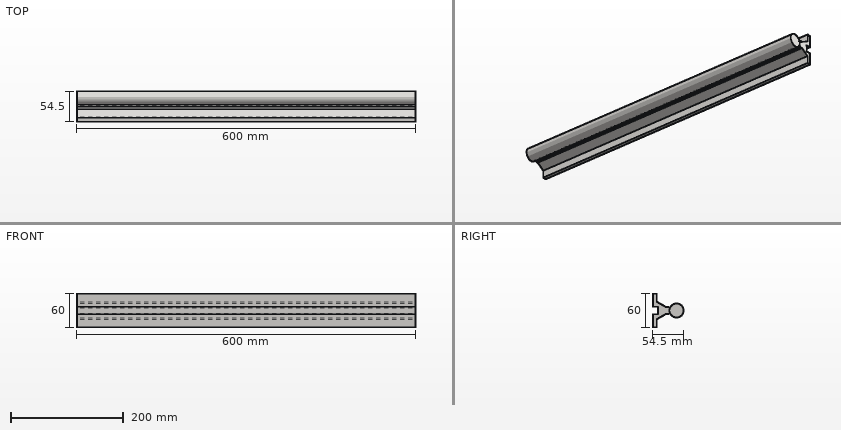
import cadquery as cq

length = 600.0
rail_height = 60.0
overall_depth = 54.5

shaft_diameter = 25.0
shaft_radius = shaft_diameter / 2
shaft_center_y = overall_depth - shaft_radius

flange_thickness = 7.0
flare_half_height = 15.5
neck_start_y = 23.0
neck_end_y = 27.0
neck_half_height = 6.5
slot_depth = 9.0
slot_height = 12.5

web_slope = (flare_half_height - neck_half_height) / (neck_start_y - flange_thickness)
tip_y = shaft_center_y - shaft_radius / 2
tip_half_height = neck_half_height - web_slope * (tip_y - neck_end_y)


def make_shaft():
    """Plain round bar along X."""
    return cq.Workplane("YZ").center(shaft_center_y, 0).circle(shaft_radius).extrude(length)


def make_rail(shaft):
    """Extruded support with a slotted face and a concave seat for the shaft."""
    upper_half = [
        (slot_depth, slot_height / 2),
        (0, slot_height / 2),
        (0, rail_height / 2),
        (flange_thickness, rail_height / 2),
        (flange_thickness, flare_half_height),
        (neck_start_y, neck_half_height),
        (neck_end_y, neck_half_height),
        (tip_y, tip_half_height),
    ]
    lower_half = [(y, -z) for y, z in reversed(upper_half)]
    blank = cq.Workplane("YZ").polyline(upper_half + lower_half).close().extrude(length)
    return blank.cut(shaft)


shaft = make_shaft()
rail = make_rail(shaft)

result = cq.Compound.makeCompound([shaft.val(), *rail.solids().vals()])